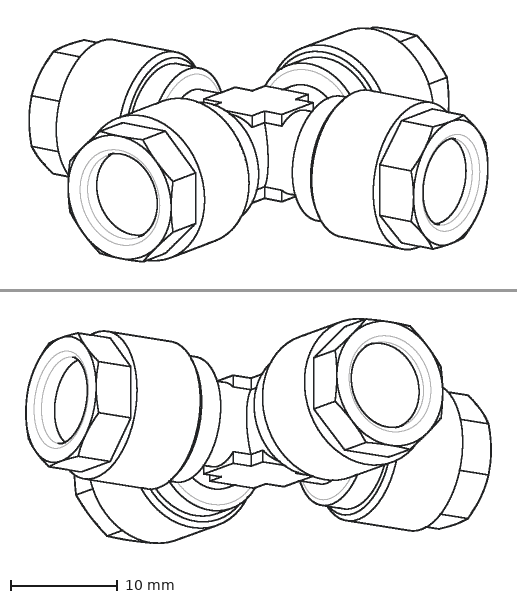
import cadquery as cq
import math

PORT_COUNT = 4
REACH = 22.2

COLLAR_FLATS = 11.9
COLLAR_SIDES = 8
COLLAR_LENGTH = 3.9
COLLAR_CHAMFER_ANGLE = 30

BODY_DIAMETER = 14.0
BODY_LENGTH = 7.6
BODY_CHAMFER = 0.5

NECK_DIAMETER = COLLAR_FLATS
NECK_LENGTH = 2.5
NECK_BEVEL_LENGTH = 0.2
NECK_BEVEL_DEPTH = 0.55
NECK_CONE_LENGTH = 0.35

TUBE_DIAMETER = 8.0

BORE_DIAMETER = 8.2
X_PORT_BORE_DEPTH = 1.2
Y_PORT_BORE_DEPTH = 2.0
BORE_LIP_ROUND = 0.5

PAD_SPAN = 9.0
PAD_ARM_WIDTH = 5.0
PAD_HEIGHT = 8.5

BODY_OUTER_END = REACH - COLLAR_LENGTH
BODY_INNER_END = BODY_OUTER_END - BODY_LENGTH
NECK_INNER_END = BODY_INNER_END - NECK_LENGTH
BEVEL_INNER_END = NECK_INNER_END - NECK_BEVEL_LENGTH
CONE_INNER_END = BEVEL_INNER_END - NECK_CONE_LENGTH


def round_bar(diameter, start, end):
    """Solid cylinder along +X between two X positions."""
    return cq.Workplane("YZ", origin=(start, 0, 0)).circle(diameter / 2).extrude(end - start)


def make_collar():
    """Octagonal collar whose corners are bevelled at the end face."""
    corner_diameter = COLLAR_FLATS / math.cos(math.pi / COLLAR_SIDES)
    octagon = (
        cq.Workplane("YZ", origin=(BODY_OUTER_END, 0, 0))
        .transformed(rotate=(0, 0, 180 / COLLAR_SIDES))
        .polygon(COLLAR_SIDES, corner_diameter)
        .extrude(COLLAR_LENGTH)
    )
    bevel_width = (corner_diameter - COLLAR_FLATS) / 2
    bevel_length = bevel_width * math.tan(math.radians(COLLAR_CHAMFER_ANGLE))
    bevelled_bar = round_bar(corner_diameter, BODY_OUTER_END, REACH).faces(">X").chamfer(
        bevel_length, bevel_width
    )
    return octagon.intersect(bevelled_bar)


def make_neck():
    """Neck turned about the X axis, tapering in two steps towards the tube."""
    neck_radius = NECK_DIAMETER / 2
    return (
        cq.Workplane("XY")
        .moveTo(BODY_INNER_END, 0)
        .lineTo(BODY_INNER_END, neck_radius)
        .lineTo(NECK_INNER_END, neck_radius)
        .lineTo(BEVEL_INNER_END, neck_radius - NECK_BEVEL_DEPTH)
        .lineTo(CONE_INNER_END, TUBE_DIAMETER / 2)
        .lineTo(CONE_INNER_END, 0)
        .close()
        .revolve(360, (0, 0, 0), (1, 0, 0))
    )


def make_bore(depth):
    """Cutter for a blind bore, flared by the rounded lip at the port face."""
    bore_radius = BORE_DIAMETER / 2
    floor = REACH - depth
    lip_start = REACH - BORE_LIP_ROUND
    lip_radius = bore_radius + BORE_LIP_ROUND
    diagonal = BORE_LIP_ROUND * math.sqrt(0.5)
    return (
        cq.Workplane("XY")
        .moveTo(floor, 0)
        .lineTo(floor, bore_radius)
        .lineTo(lip_start, bore_radius)
        .threePointArc((lip_start + diagonal, lip_radius - diagonal), (REACH, lip_radius))
        .lineTo(REACH, 0)
        .close()
        .revolve(360, (0, 0, 0), (1, 0, 0))
    )


def make_port(bore_depth):
    """One port along +X, with its tube running back to the centre."""
    body = round_bar(BODY_DIAMETER, BODY_INNER_END, BODY_OUTER_END)
    body = body.faces("<X").edges().chamfer(BODY_CHAMFER)
    tube = round_bar(TUBE_DIAMETER, 0, CONE_INNER_END)
    solid_port = make_collar().union(body).union(make_neck()).union(tube)
    return solid_port.cut(make_bore(bore_depth))


def make_pad():
    """Cross-shaped block through the crossing, standing proud above and below."""
    along_x = cq.Workplane("XY").box(PAD_SPAN, PAD_ARM_WIDTH, PAD_HEIGHT)
    along_y = cq.Workplane("XY").box(PAD_ARM_WIDTH, PAD_SPAN, PAD_HEIGHT)
    return along_x.union(along_y)


result = make_pad()
for index in range(PORT_COUNT):
    angle = index * 360 / PORT_COUNT
    lies_along_x = index % 2 == 0
    bore_depth = X_PORT_BORE_DEPTH if lies_along_x else Y_PORT_BORE_DEPTH
    result = result.union(make_port(bore_depth).rotate((0, 0, 0), (0, 0, 1), angle))